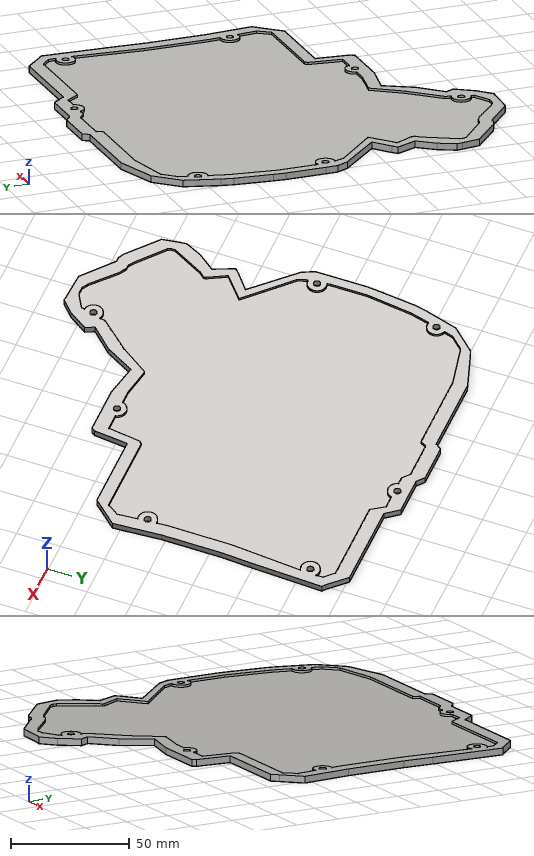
import cadquery as cq


LENGTH = 166.13
WIDTH = 179.32
THICKNESS = 3.0
TRAY_DEPTH = 1.0
HOLE_DIAMETER = 3.0
BOSS_DIAMETER = 8.5

LEFT = -LENGTH / 2
RIGHT = LENGTH / 2
FRONT = -WIDTH / 2
BACK = WIDTH / 2

BACK_STEP = 86.9
BACK_SHOULDER = 81.0
FRONT_SHOULDER = -34.5
FRONT_STEP = -51.6

BACK_RIM = 6.5
SHOULDER_RIM = 5.6
STEP_RIM = 6.6
LEFT_RIM = 4.4

TRAY_BACK = BACK - BACK_RIM
TRAY_BACK_STEP = BACK_STEP - BACK_RIM
TRAY_BACK_SHOULDER = BACK_SHOULDER - BACK_RIM
TRAY_FRONT_SHOULDER = FRONT_SHOULDER + SHOULDER_RIM
TRAY_FRONT_STEP = FRONT_STEP + STEP_RIM
TRAY_LEFT = LEFT + LEFT_RIM

PLATE_BACK = [
    (-46.2, BACK_STEP),
    (-10.4, BACK_STEP),
    (-8.5, BACK),
    (9.2, BACK),
    (12.6, BACK_STEP),
    (30.1, BACK_STEP),
    (34.7, BACK_SHOULDER),
    (73.9, BACK_SHOULDER),
]
PLATE_RIGHT = [
    (81.5, 73.2),
    (RIGHT, 72.0),
    (81.6, 38.9),
    (80.8, 25.4),
    (80.7, -1.6),
    (82.2, -23.5),
    (74.8, -31.6),
]
PLATE_FRONT = [
    (72.3, FRONT_SHOULDER),
    (37.5, FRONT_SHOULDER),
    (35.9, -50.0),
    (34.8, FRONT_STEP),
    (12.7, FRONT_STEP),
    (-2.4, -48.7),
]
PLATE_LOBE = [
    (-9.8, -61.8),
    (-19.2, -71.6),
    (-17.4, -75.6),
    (-23.0, -84.0),
    (-29.0, FRONT),
    (-30.0, -89.4),
    (-43.6, -88.8),
    (-57.5, -77.1),
    (-59.7, -77.1),
    (-62.4, -75.8),
    (-76.2, -64.0),
    (-77.5, -55.9),
    (-77.8, -53.2),
    (-74.0, -45.5),
    (-68.2, -38.0),
    (-72.2, -28.7),
    (-70.2, -26.7),
    (-62.6, -20.5),
]
PLATE_LEFT = [
    (-80.4, -2.4),
    (-83.0, 3.0),
    (LEFT, 8.4),
    (LEFT, 26.7),
    (-82.6, 32.1),
    (-80.7, 49.4),
    (-79.5, 54.8),
    (-75.0, 70.2),
    (-65.1, 80.8),
]

TRAY_BACK_WALL = [
    (-45.6, TRAY_BACK_STEP),
    (-9.2, TRAY_BACK_STEP),
    (-7.8, TRAY_BACK),
    (9.7, TRAY_BACK),
    (13.1, TRAY_BACK_STEP),
    (30.8, TRAY_BACK_STEP),
    (34.8, TRAY_BACK_SHOULDER),
    (73.9, TRAY_BACK_SHOULDER),
]
TRAY_RIGHT_WALL = [
    (77.9, 70.5),
    (78.1, 67.3),
    (77.5, 57.8),
    (75.0, 28.1),
    (74.8, -1.6),
    (76.6, -23.5),
]
TRAY_FRONT_WALL = [
    (72.9, TRAY_FRONT_SHOULDER),
    (35.4, TRAY_FRONT_SHOULDER),
    (34.3, -30.0),
    (32.3, TRAY_FRONT_STEP),
    (10.0, TRAY_FRONT_STEP),
    (-3.2, -42.7),
]
TRAY_LOBE_WALL = [
    (-9.2, -51.3),
    (-12.2, -55.6),
    (-24.3, -69.1),
    (-24.6, -71.4),
    (-27.5, -81.0),
    (-34.6, -85.1),
    (-38.1, -85.1),
    (-41.3, -83.2),
    (-52.1, -73.5),
    (-55.1, -71.8),
    (-57.3, -71.6),
    (-60.0, -69.8),
    (-72.1, -59.7),
    (-72.7, -58.3),
    (-72.7, -56.4),
    (-64.8, -41.9),
    (-62.8, -39.7),
    (-62.9, -38.6),
    (-67.3, -30.2),
    (-56.8, -21.1),
]
TRAY_LEFT_WALL = [
    (-75.9, -2.4),
    (-77.2, 1.1),
    (TRAY_LEFT, 11.9),
    (TRAY_LEFT, 28.6),
    (-75.9, 49.7),
    (-73.7, 58.1),
    (-71.0, 67.5),
    (-70.0, 70.8),
    (-64.7, 76.4),
]

SCREW_POSITIONS = [
    (-72.5, 62.4),
    (-77.0, 6.3),
    (20.6, 81.6),
    (75.5, 63.8),
    (74.5, -10.5),
    (20.5, -45.9),
    (-26.8, -75.4),
]


def prism(corners, bottom, height):
    """Upright prism on a polygon, starting at the given Z."""
    return cq.Workplane("XY").workplane(offset=bottom).polyline(corners).close().extrude(height)


def screw_cylinders(diameter, bottom, height):
    """One upright cylinder at each screw position."""
    plane = cq.Workplane("XY").workplane(offset=bottom)
    return plane.pushPoints(SCREW_POSITIONS).circle(diameter / 2).extrude(height)


def make_plate():
    corners = PLATE_BACK + PLATE_RIGHT + PLATE_FRONT + PLATE_LOBE + PLATE_LEFT
    return prism(corners, 0, THICKNESS)


def make_tray():
    """Volume removed from the top face: the tray less the bosses standing in it."""
    corners = TRAY_BACK_WALL + TRAY_RIGHT_WALL + TRAY_FRONT_WALL + TRAY_LOBE_WALL + TRAY_LEFT_WALL
    floor = THICKNESS - TRAY_DEPTH
    bosses = screw_cylinders(BOSS_DIAMETER, floor, TRAY_DEPTH)
    return prism(corners, floor, TRAY_DEPTH).cut(bosses)


screw_holes = screw_cylinders(HOLE_DIAMETER, 0, THICKNESS)
result = make_plate().cut(make_tray()).cut(screw_holes)